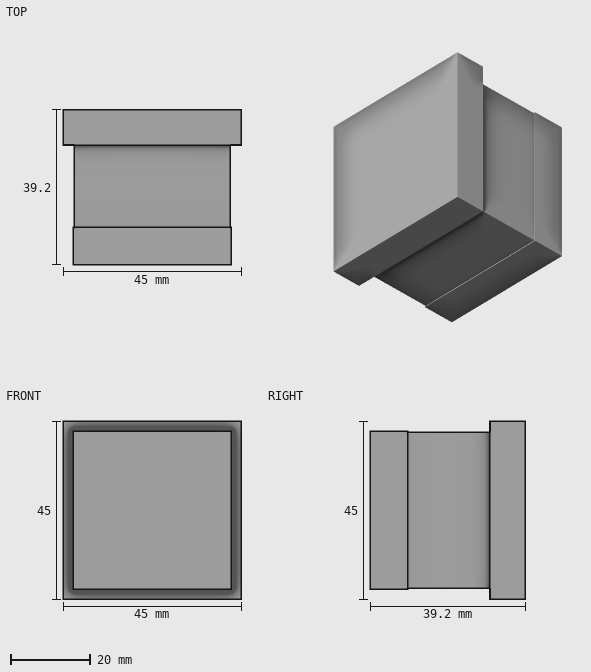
import cadquery as cq

flange_width = 45.0
flange_thickness = 9.0
barrel_width = 39.5

cap_width = 40.0
cap_length = 9.5

total_length = 39.25
barrel_length = total_length - flange_thickness - cap_length

cap_start = 0.0
barrel_start = cap_start + cap_length
flange_start = barrel_start + barrel_length


def square_block(width, start, length):
    """Square block centred on the Y axis, running from start towards +Y."""
    return (
        cq.Workplane("XY")
        .box(width, length, width, centered=(True, False, True))
        .translate((0, start, 0))
    )


def make_housing():
    flange = square_block(flange_width, flange_start, flange_thickness)
    barrel = square_block(barrel_width, barrel_start, barrel_length)
    return flange.union(barrel)


def make_cap():
    return square_block(cap_width, cap_start, cap_length)


housing = make_housing()
cap = make_cap()

result = cq.Compound.makeCompound([housing.val(), cap.val()])